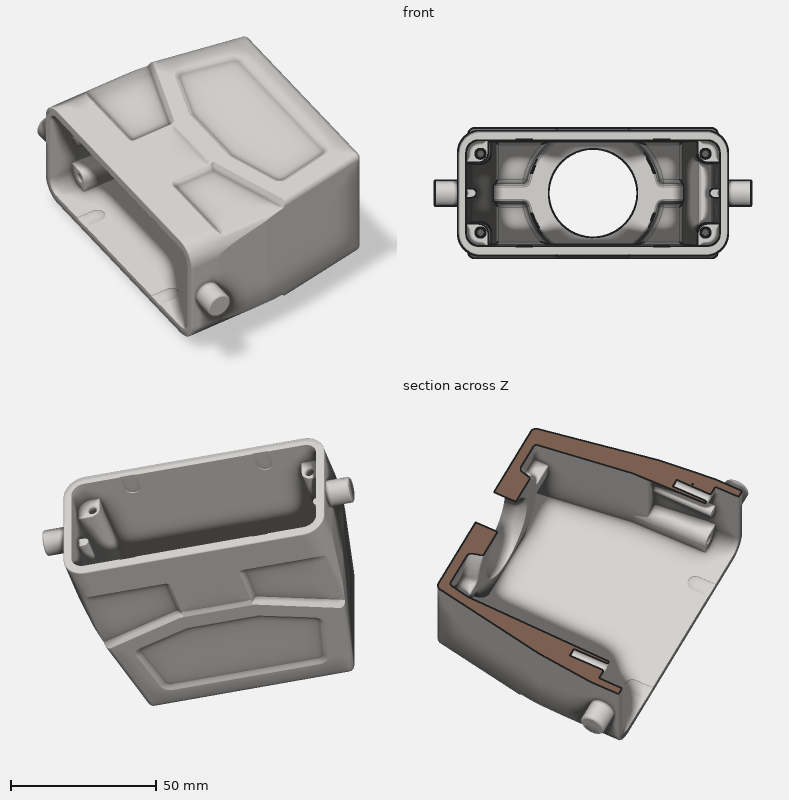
import cadquery as cq
import math


overall_length = 109.5
hood_depth = 76.0
overall_height = 45.0
rim_half_length = 46.6
rim_half_height = 21.6
rim_corner_radius = 7.7
rim_edge_radius = 0.4
panel_half_height = overall_height / 2
panel_edge_radius = 2.1
straight_depth = 10.8
bend_depth = 31.8
bend_half_length = 44.6
rear_half_length = 36.6
base_depth = 65.7

panel_front_y = 31.1
panel_front_half_length = 13.2
panel_side_y = 41.3
panel_side_half_length = 42.8
panel_wall_width = 1.6
ramp_length = 1.8

pocket_depth = 1.4
pocket_wall_width = 1.8
strip_half_length = 12.4
pocket_front_y = 13.0
pocket_edge_radius = 1.8

recess_depth = 1.1
recess_wall_width = 1.9
recess_front_y = 39.0
recess_front_half_length = 12.5
recess_side_y = 45.5
recess_side_half_length = 32.1
recess_rear_y = 66.2
recess_rear_half_length = 27.8
recess_corner_radius = 1.9

pin_diameter = 9.0
pin_y = 6.1
pin_chamfer = 0.4

cavity_half_length = 43.8
cavity_half_height = 18.3
cavity_corner_radius = 4.5
cavity_draft = 0.5
cavity_floor_y = 72.3
cavity_bend_half_length = 41.8
cavity_left_floor = 33.4
cavity_right_floor = 30.7
cavity_step_y = 31.2
cavity_step_outer_x = 41.2
cavity_step_inner_x = 36.4
cavity_step_radius = 0.5
cavity_floor_radius = 1.0

entry_diameter = 30.4
web_height = 4.9
web_draft = 12.0
web_ring_radius = 22.5
web_bar_half_height = 2.6
web_corner_radius = 1.1
web_edge_radius = 0.5
web_foot_radius = 1.4

boss_front_y = 9.0
boss_inner_x = 36.1
boss_inner_z = 10.6
boss_corner_radius = 3.3
boss_draft = 1.2
screw_x = 38.8
screw_z = 13.6
screw_diameter = 2.8
screw_chamfer = 0.38
screw_depth = 13.1
rib_radius = 1.5
rib_x = 41.7

slot_x = 23.7
slot_width = 5.6
slot_length = 9.2
slot_floor_z = 18.5

clearance = 11.0
margin = 0.1


def section_at(y):
    """Workplane square to Y that extrudes toward the rear."""
    return cq.Workplane(cq.Plane((0, y, 0), (1, 0, 0), (0, 1, 0)))


def slab(points, half_height):
    """Closed XY outline extruded equally above and below z = 0."""
    return cq.Workplane("XY").polyline(points).close().extrude(half_height, both=True)


def mirrored(points):
    """Complete a left-right symmetric outline from its +X half."""
    return points + [(-x, y) for x, y in reversed(points)]


def on_both_sides(shape):
    return shape.union(shape.mirror("XY"))


def at_both_ends(shape):
    return shape.union(shape.mirror("YZ"))


def draft_angle(width, height):
    return math.degrees(math.atan2(width, height))


def tapered_slab(half_height):
    """Plan outline of the hood with both end walls leaning in."""
    return slab(mirrored([
        (rim_half_length, 0),
        (rim_half_length, straight_depth),
        (bend_half_length, bend_depth),
        (rear_half_length, hood_depth),
    ]), half_height)


def rim_body():
    """Rounded front section with a pocket in each corner of its long walls."""
    tube = (section_at(0).rect(2 * rim_half_length, 2 * rim_half_height)
            .extrude(base_depth).edges("|Y").fillet(rim_corner_radius))
    body = tube.intersect(tapered_slab(rim_half_height))
    body = body.faces("<Y").edges().fillet(rim_edge_radius)
    body = body.cut(on_both_sides(side_pockets()))
    floor_z = rim_half_height - pocket_depth
    edge_z = floor_z - (rim_half_height - rim_corner_radius)
    edge_x = (rim_half_length - rim_corner_radius
              + math.sqrt(rim_corner_radius ** 2 - edge_z ** 2))
    outer_edges = body.edges("|Y").filter(
        lambda edge: abs(abs(edge.Center().x) - edge_x) < margin
        and abs(abs(edge.Center().z) - floor_z) < margin)
    return outer_edges.fillet(pocket_edge_radius)


def side_pockets():
    floor_x = strip_half_length + pocket_wall_width
    floor_y = pocket_front_y + pocket_wall_width
    pocket = (cq.Workplane("XY", origin=(0, 0, rim_half_height - pocket_depth))
              .moveTo(floor_x, floor_y)
              .lineTo(overall_length, floor_y)
              .lineTo(overall_length, base_depth + clearance)
              .lineTo(floor_x, base_depth + clearance)
              .close()
              .extrude(2 * pocket_depth, taper=-draft_angle(pocket_wall_width, pocket_depth)))
    return at_both_ends(pocket)


def panel_clip():
    """Region behind the drafted, angled front walls of one raised panel."""
    slope = (panel_side_y - panel_front_y) / (panel_side_half_length - panel_front_half_length)
    height = panel_half_height - rim_half_height + pocket_depth
    outer_y = panel_front_y + slope * (overall_length - panel_front_half_length)
    rear_y = outer_y + clearance
    top_outline = mirrored([
        (panel_front_half_length, panel_front_y),
        (overall_length, outer_y),
        (overall_length, rear_y),
    ])
    return (cq.Workplane("XY", origin=(0, 0, panel_half_height))
            .polyline(top_outline).close()
            .extrude(-height, taper=-draft_angle(panel_wall_width, height)))


def raised_panels():
    """Rear of the hood, down to the angled fronts of both raised panels."""
    body = tapered_slab(panel_half_height)
    body = body.faces(">Y").edges("|Z").fillet(panel_edge_radius)
    body = body.faces("|Z").edges("not <Y").fillet(panel_edge_radius)
    core_half_height = rim_half_height - pocket_depth
    core = slab(mirrored([
        (overall_length, panel_side_y),
        (overall_length, hood_depth),
    ]), core_half_height)
    return body.intersect(on_both_sides(panel_clip()).union(core))


def front_ramp():
    """Slope from the middle strip up to the raised panel."""
    floor_z = rim_half_height - pocket_depth
    foot_y = panel_front_y - ramp_length
    back_y = panel_front_y + ramp_length
    return (cq.Workplane("YZ")
            .moveTo(foot_y, rim_half_height)
            .lineTo(panel_front_y, panel_half_height)
            .lineTo(back_y, panel_half_height)
            .lineTo(back_y, floor_z)
            .lineTo(foot_y, floor_z)
            .close().extrude(strip_half_length, both=True))


def panel_recess():
    outline = mirrored([
        (recess_front_half_length, recess_front_y),
        (recess_side_half_length, recess_side_y),
        (recess_rear_half_length, recess_rear_y),
    ])
    floor_z = panel_half_height - recess_depth
    floor = cq.Workplane("XY", origin=(0, 0, floor_z)).polyline(outline).close().extrude(recess_depth)
    floor = floor.edges("|Z").edges("<X or >X or >Y").fillet(recess_corner_radius)
    return (floor.faces("<Z").wires().toPending()
            .extrude(recess_depth, combine=False,
                     taper=-draft_angle(recess_wall_width, recess_depth)))


def pins():
    return (cq.Workplane("YZ").center(pin_y, 0).circle(pin_diameter / 2)
            .extrude(overall_length / 2, both=True)
            .faces("<X or >X").chamfer(pin_chamfer))


def cavity_space():
    """Drafted hollow whose right wall steps inward."""
    outline = [
        (-cavity_half_length, 0),
        (cavity_half_length, 0),
        (cavity_half_length, straight_depth),
        (cavity_step_outer_x, cavity_step_y),
        (cavity_step_inner_x, cavity_step_y),
        (cavity_right_floor, cavity_floor_y),
        (-cavity_left_floor, cavity_floor_y),
        (-cavity_bend_half_length, bend_depth),
        (-cavity_half_length, straight_depth),
    ]
    tube = (section_at(0).rect(2 * cavity_half_length, 2 * cavity_half_height).extrude(cavity_floor_y)
            .edges("|Y").fillet(cavity_corner_radius).faces("<Y").wires().toPending()
            .workplane().extrude(-cavity_floor_y, taper=cavity_draft, combine=False))
    space = tube.intersect(slab(outline, cavity_half_height + clearance))
    space = space.faces(">Y").edges().fillet(cavity_floor_radius)
    step_face = space.faces(cq.selectors.BoxSelector(
        (cavity_step_inner_x, cavity_step_y - margin, -margin),
        (cavity_step_outer_x, cavity_step_y + margin, margin)))
    return step_face.edges("|Z").fillet(cavity_step_radius)


def entry_web():
    """Ring and cross bar standing on the cavity floor."""
    spread = web_height * math.tan(math.radians(web_draft))
    base = section_at(cavity_floor_y)
    outline = (base.circle(web_ring_radius + spread).extrude(web_height)
               .union(base.rect(overall_length, 2 * (web_bar_half_height + spread)).extrude(web_height)))
    inner_corners = outline.edges("|Y").filter(lambda edge: abs(edge.Center().x) < overall_length / 4)
    inner_corners = inner_corners.filter(lambda edge: abs(edge.Center().z) > margin)
    outline = inner_corners.fillet(web_corner_radius)
    web = (outline.faces("<Y").wires().toPending()
           .extrude(-web_height, taper=web_draft, combine=False))
    web = web.faces("<Y").edges().fillet(web_edge_radius)
    plate = base.rect(2 * overall_length, overall_length).extrude(clearance)
    web = web.union(plate)
    foot_reach = overall_length / 2 + margin
    foot_edges = web.edges(cq.selectors.BoxSelector(
        (-foot_reach, cavity_floor_y - margin, -web_ring_radius - clearance),
        (foot_reach, cavity_floor_y + margin, web_ring_radius + clearance)))
    return foot_edges.fillet(web_foot_radius)


def screw_bosses():
    """Four corner bosses that merge into the cavity walls."""
    size = 2 * clearance
    boss = (section_at(boss_front_y)
            .center(boss_inner_x + size / 2, -boss_inner_z - size / 2).rect(size, size)
            .extrude(cavity_floor_y - boss_front_y)
            .edges("<X and <Z").fillet(boss_corner_radius)
            .faces("<Y").wires().toPending()
            .extrude(cavity_floor_y - boss_front_y, taper=-boss_draft, combine=False))
    return on_both_sides(at_both_ends(boss))


def screw_holes():
    centers = section_at(boss_front_y).rect(2 * screw_x, 2 * screw_z, forConstruction=True).vertices()
    bores = centers.circle(screw_diameter / 2).extrude(screw_depth)
    mouths = centers.circle(screw_diameter / 2 + screw_chamfer).extrude(screw_chamfer, taper=45)
    return bores.union(mouths)


def guide_ribs():
    rib = (section_at(boss_front_y)
           .moveTo(rib_x, rib_radius)
           .threePointArc((rib_x - rib_radius, 0), (rib_x, -rib_radius))
           .lineTo(rim_half_length, -rib_radius)
           .lineTo(rim_half_length, rib_radius)
           .close().extrude(cavity_floor_y - boss_front_y))
    return at_both_ends(rib)


def rim_slots():
    slots = (cq.Workplane("XY").pushPoints([(-slot_x, 0), (slot_x, 0)])
             .slot2D(2 * slot_length, slot_width, 90)
             .extrude(slot_floor_z, both=True))
    return slots.intersect(cq.Workplane("XY").box(overall_length, hood_depth, overall_length)
                           .translate((0, hood_depth / 2, 0)))


def cable_entry():
    return (section_at(cavity_floor_y - 2 * web_height).circle(entry_diameter / 2)
            .extrude(hood_depth))


shell = rim_body().union(raised_panels()).union(on_both_sides(front_ramp())).union(pins())
shell = shell.cut(on_both_sides(panel_recess()))
hollow = cavity_space().cut(entry_web()).cut(screw_bosses()).cut(guide_ribs())
result = shell.cut(hollow).cut(rim_slots()).cut(screw_holes()).cut(cable_entry())